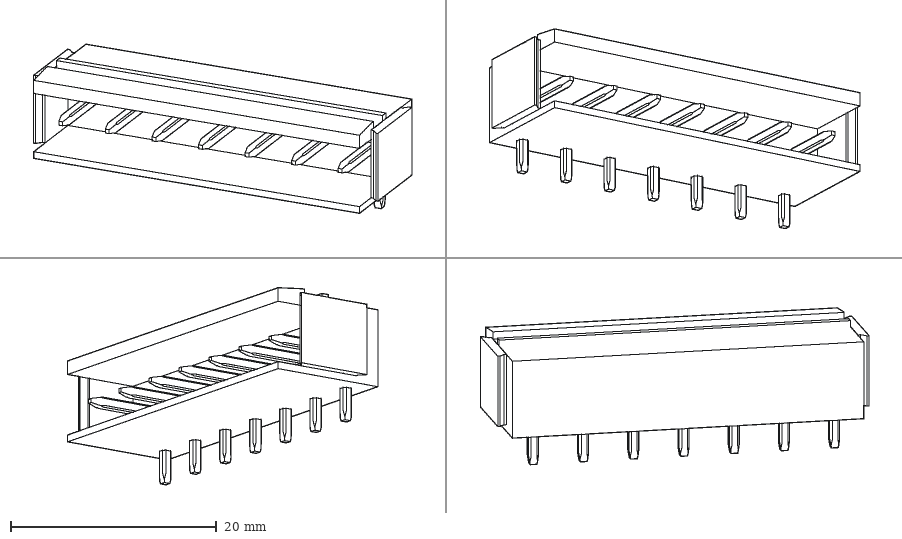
import cadquery as cq

TOTAL_LENGTH = 37.0
DEPTH = 12.0
FLOOR_THICKNESS = 0.7
ROOF_TOP = 7.75
LIP_BOTTOM = 6.77

LIP_TOP = 8.47
LIP_FRONT_TOP = 8.15
LIP_BACK = 8.8
LIP_FLAT_WIDTH = 0.35

RIB_BACK = 5.95
RIB_WIDTH = 0.78
RIB_TOP = 8.35
FOOT_RADIUS = 0.1

DOVETAIL_PROJECTION = 1.0
DOVETAIL_NECK = 0.25
DOVETAIL_RIM = 0.22
DOVETAIL_BACK = 2.07
DOVETAIL_FRONT = 9.9
DOVETAIL_FLARE = 0.55
DOVETAIL_TOP = 7.77

PIN_COUNT = 7
PIN_ROW_LENGTH = 30.0
PIN_WIDTH = 1.0
LEG_DISTANCE = 2.07
LEG_CHAMFER = 0.22
LEG_END = -3.22
LEG_TIP_LENGTH = 0.9
LEG_TIP_WIDTH = 0.65
CONTACT_HEIGHT = 3.75
CONTACT_CHAMFER = 0.15
CONTACT_END = 11.1
CONTACT_TIP_LENGTH = 1.37
CONTACT_TIP_WIDTH = 0.4

HOUSING_LENGTH = TOTAL_LENGTH - 2 * DOVETAIL_PROJECTION
WALL_THICKNESS = 2 * LEG_DISTANCE
PIN_PITCH = PIN_ROW_LENGTH / (PIN_COUNT - 1)
PIN_POSITIONS = [i * PIN_PITCH - PIN_ROW_LENGTH / 2 for i in range(PIN_COUNT)]


def make_shell():
    """C-shaped section with the lip and the rib, running the length of the housing."""
    rib_front = RIB_BACK + RIB_WIDTH
    section = [
        (0, 0),
        (-DEPTH, 0),
        (-DEPTH, FLOOR_THICKNESS),
        (-WALL_THICKNESS, FLOOR_THICKNESS),
        (-WALL_THICKNESS, LIP_BOTTOM),
        (-DEPTH, LIP_BOTTOM),
        (-DEPTH, LIP_FRONT_TOP),
        (-LIP_BACK - LIP_FLAT_WIDTH, LIP_TOP),
        (-LIP_BACK, LIP_TOP),
        (-LIP_BACK, ROOF_TOP),
        (-rib_front, ROOF_TOP),
        (-rib_front, RIB_TOP),
        (-RIB_BACK, RIB_TOP),
        (-RIB_BACK, ROOF_TOP),
        (0, ROOF_TOP),
    ]
    shell = cq.Workplane("YZ").polyline(section).close().extrude(HOUSING_LENGTH / 2, both=True)
    back_foot = cq.selectors.NearestToPointSelector((0, -RIB_BACK, ROOF_TOP))
    front_foot = cq.selectors.NearestToPointSelector((0, -rib_front, ROOF_TOP))
    return shell.edges(back_foot + front_foot).fillet(FOOT_RADIUS)


def make_dovetail(side):
    """Flared plate on one end of the housing; side is -1 or +1 along X."""
    inner = side * HOUSING_LENGTH / 2
    neck = inner + side * DOVETAIL_NECK
    outer = side * TOTAL_LENGTH / 2
    rim = outer - side * DOVETAIL_RIM
    neck_back = -DOVETAIL_BACK - DOVETAIL_FLARE
    neck_front = -DOVETAIL_FRONT + DOVETAIL_FLARE
    outline = [
        (inner, neck_back),
        (neck, neck_back),
        (rim, -DOVETAIL_BACK),
        (outer, -DOVETAIL_BACK),
        (outer, -DOVETAIL_FRONT),
        (rim, -DOVETAIL_FRONT),
        (neck, neck_front),
        (inner, neck_front),
    ]
    plate = cq.Workplane("XY").workplane(offset=FLOOR_THICKNESS).polyline(outline).close()
    return plate.extrude(DOVETAIL_TOP - FLOOR_THICKNESS)


def make_wire(start, direction, length, chamfer, tip_length, tip_width):
    """Straight chamfered square bar that ends in a tapered tip."""
    plane = cq.Plane(origin=start, xDir=(1, 0, 0), normal=direction)
    shaft_length = length - tip_length
    bar = cq.Workplane(plane).rect(PIN_WIDTH, PIN_WIDTH).extrude(length)
    bar = bar.edges(cq.selectors.ParallelDirSelector(cq.Vector(*direction))).chamfer(chamfer)
    taper = (
        cq.Workplane(plane)
        .workplane(offset=shaft_length)
        .rect(PIN_WIDTH, PIN_WIDTH)
        .workplane(offset=tip_length)
        .rect(tip_width, tip_width)
        .loft()
    )
    envelope = cq.Workplane(plane).rect(PIN_WIDTH, PIN_WIDTH).extrude(shaft_length).union(taper)
    return bar.intersect(envelope)


def make_pin(x):
    """Vertical leg and horizontal contact, meeting in a square corner inside the back wall."""
    half = PIN_WIDTH / 2
    leg_top = CONTACT_HEIGHT + half
    contact_back = LEG_DISTANCE - half
    leg = make_wire(
        (x, -LEG_DISTANCE, leg_top),
        (0, 0, -1),
        leg_top - LEG_END,
        LEG_CHAMFER,
        LEG_TIP_LENGTH,
        LEG_TIP_WIDTH,
    )
    contact = make_wire(
        (x, -contact_back, CONTACT_HEIGHT),
        (0, -1, 0),
        CONTACT_END - contact_back,
        CONTACT_CHAMFER,
        CONTACT_TIP_LENGTH,
        CONTACT_TIP_WIDTH,
    )
    return leg.union(contact)


pins = [make_pin(x) for x in PIN_POSITIONS]

housing = make_shell()
for side in (-1, 1):
    housing = housing.union(make_dovetail(side))
for pin in pins:
    housing = housing.cut(pin)

result = cq.Compound.makeCompound([housing.val(), *[pin.val() for pin in pins]])